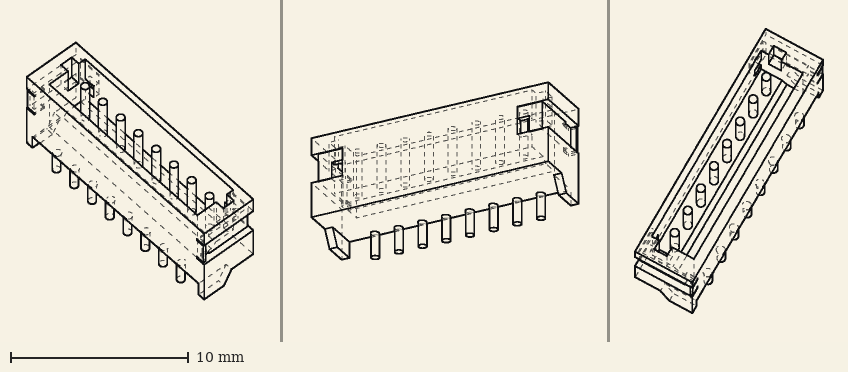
import cadquery as cq

LENGTH = 15.0
DEPTH = 3.7
HEIGHT = 5.0
HALF_LENGTH = LENGTH / 2

FOOT_WIDTH = 0.5
FOOT_HEIGHT = 1.0
FOOT_TOP_DEPTH = 2.07
FOOT_TIP_DEPTH = 1.5

CAVITY_HALF_LENGTH = 6.25
CAVITY_FRONT = 0.6
CAVITY_BACK = 3.3
STEP_FRONT = 1.64
STEP_BACK = 1.95
FRONT_FLOOR = 1.1
BACK_FLOOR = FRONT_FLOOR + STEP_BACK - STEP_FRONT

NOTCH_END = 6.85
NOTCH_FRONT = 2.01
NOTCH_BACK = 2.82
NOTCH_FLOOR = 3.2

RECESS_BOTTOM = 2.18
RECESS_TOP = 3.92
RECESS_DEPTH = 0.42
FLAP_THICKNESS = 0.18
FLAP_SETBACK = 0.06
BACK_RECESS_DEPTH = 0.06

UPPER_SLOT_HEIGHT = 0.1
LOWER_SLOT_HEIGHT = 0.14
SLOT_LENGTH = 0.65
SLOT_DEPTH = 0.74

WINDOW_INNER_END = 5.55

PIN_COUNT = 8
PIN_PITCH = 1.5
PIN_DIAMETER = 0.5
PIN_RADIUS = PIN_DIAMETER / 2
PIN_TOP = 4.26
PIN_BOTTOM = -1.5
CONTACT_Y = 2.4
TAIL_Y = PIN_RADIUS
BEND_RADIUS = 0.5
TAIL_BEND_START = -0.16


def block(x_range, y_range, z_range):
    """Axis-aligned block between the given limits."""
    size = [end - start for start, end in (x_range, y_range, z_range)]
    corner = (x_range[0], y_range[0], z_range[0])
    return cq.Workplane("XY").box(*size, centered=False).translate(corner)


def on_both_ends(shape):
    """The shape at the +X end together with its mirror image at the -X end."""
    return shape.union(shape.mirror("YZ"))


def foot():
    """Foot at the +X end, with a sloped back edge."""
    return (
        cq.Workplane("YZ", origin=(HALF_LENGTH - FOOT_WIDTH, 0, 0))
        .moveTo(0, 0)
        .lineTo(FOOT_TOP_DEPTH, 0)
        .lineTo(FOOT_TIP_DEPTH, -FOOT_HEIGHT)
        .lineTo(0, -FOOT_HEIGHT)
        .close()
        .extrude(FOOT_WIDTH)
    )


def cavity():
    """Long cavity whose floor steps between two levels."""
    return (
        cq.Workplane("YZ", origin=(-CAVITY_HALF_LENGTH, 0, 0))
        .moveTo(CAVITY_FRONT, HEIGHT)
        .lineTo(CAVITY_FRONT, FRONT_FLOOR)
        .lineTo(STEP_FRONT, FRONT_FLOOR)
        .lineTo(STEP_BACK, BACK_FLOOR)
        .lineTo(CAVITY_BACK, BACK_FLOOR)
        .lineTo(CAVITY_BACK, HEIGHT)
        .close()
        .extrude(2 * CAVITY_HALF_LENGTH)
    )


def notch():
    """Notch that widens the +X end of the cavity."""
    return block(
        (CAVITY_HALF_LENGTH, NOTCH_END), (NOTCH_FRONT, NOTCH_BACK), (NOTCH_FLOOR, HEIGHT)
    )


def end_recess():
    """Material removed around the flap and the back corner at the +X end."""
    recess_z = (RECESS_BOTTOM, RECESS_TOP)
    recess = block((HALF_LENGTH - RECESS_DEPTH, HALF_LENGTH), (FLAP_THICKNESS, DEPTH), recess_z)
    flap_edge = block((HALF_LENGTH - FLAP_SETBACK, HALF_LENGTH), (0, FLAP_THICKNESS), recess_z)
    back_recess = block((WINDOW_INNER_END, HALF_LENGTH), (DEPTH - BACK_RECESS_DEPTH, DEPTH), recess_z)
    cut = recess.union(flap_edge).union(back_recess)
    lower_slot_z = (RECESS_BOTTOM, RECESS_BOTTOM + LOWER_SLOT_HEIGHT)
    upper_slot_z = (RECESS_TOP - UPPER_SLOT_HEIGHT, RECESS_TOP)
    for slot_z in (lower_slot_z, upper_slot_z):
        cut = cut.union(block((HALF_LENGTH - SLOT_LENGTH, HALF_LENGTH), (0, SLOT_DEPTH), slot_z))
    return cut


def window():
    """Opening through the back wall beside the +X end of the cavity."""
    return block(
        (WINDOW_INNER_END, CAVITY_HALF_LENGTH), (CAVITY_BACK, DEPTH), (RECESS_BOTTOM, NOTCH_FLOOR)
    )


def pin(x):
    """Round pin: upright contact, run to the front inside the housing, then a tail."""
    run_z = TAIL_BEND_START + BEND_RADIUS
    path = (
        cq.Workplane("YZ", origin=(x, 0, 0))
        .moveTo(TAIL_Y, PIN_BOTTOM)
        .lineTo(TAIL_Y, TAIL_BEND_START)
        .tangentArcPoint((TAIL_Y + BEND_RADIUS, run_z), relative=False)
        .lineTo(CONTACT_Y - BEND_RADIUS, run_z)
        .tangentArcPoint((CONTACT_Y, run_z + BEND_RADIUS), relative=False)
        .lineTo(CONTACT_Y, PIN_TOP)
    )
    return cq.Workplane("XY", origin=(x, TAIL_Y, PIN_BOTTOM)).circle(PIN_RADIUS).sweep(path)


housing = block((-HALF_LENGTH, HALF_LENGTH), (0, DEPTH), (0, HEIGHT)).union(on_both_ends(foot()))
housing = housing.cut(cavity())
for end_cut in (notch(), end_recess(), window()):
    housing = housing.cut(on_both_ends(end_cut))

result = housing
for index in range(PIN_COUNT):
    result = result.union(pin((index - (PIN_COUNT - 1) / 2) * PIN_PITCH))